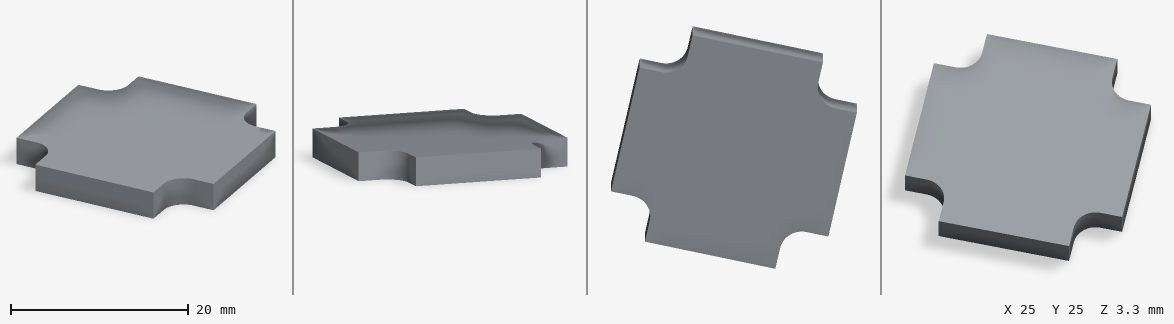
import cadquery as cq

plate_width = 25.0
plate_thickness = 3.3
notch_size = 5.0
notch_radius = notch_size / 2

plate = cq.Workplane("XY").box(plate_width, plate_width, plate_thickness)

notches = (
    cq.Workplane("XY")
    .rect(plate_width, plate_width, forConstruction=True)
    .vertices()
    .rect(2 * notch_size, 2 * notch_size)
    .extrude(plate_thickness, both=True)
    .edges("|Z")
    .fillet(notch_radius)
)

result = plate.cut(notches)